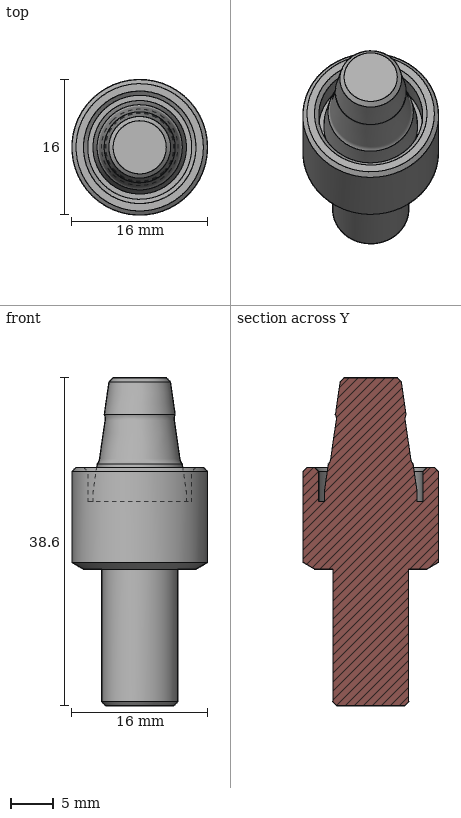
import cadquery as cq
import math

total_height = 38.6
shank_length = 16.05
collar_height = 12.0
rim_z = shank_length + collar_height

shank_diameter = 9.0
collar_diameter = 16.0
recess_diameter = 12.25
core_root_diameter = 11.0

edge_chamfer = 0.5
collar_base_chamfer_width = 1.4
collar_base_chamfer_height = 0.8

recess_depth = 4.0

taper_angle = 8.2
nose_top_radius = 3.13
upper_cone_bottom_z = 34.3
groove_depth = 0.2
groove_height = 0.7
lower_cone_bottom_z = 29.05
flare_height = 0.58
flare_width = 0.27

taper = math.tan(math.radians(taper_angle))
flank_down = (math.sin(math.radians(taper_angle)), -math.cos(math.radians(taper_angle)))
flank_up = (-flank_down[0], -flank_down[1])


def flank_arc_middle(start, end):
    """Middle point of the arc from start to end that is tangent to the cone at start."""
    chord_x = end[0] - start[0]
    chord_z = end[1] - start[1]
    chord = math.hypot(chord_x, chord_z)
    direction = flank_down if chord_z < 0 else flank_up
    cross = direction[0] * chord_z - direction[1] * chord_x
    tangent_angle = math.asin(cross / chord)
    rise = chord / 2 * math.tan(tangent_angle / 2)
    middle_x = (start[0] + end[0]) / 2 + rise * chord_z / chord
    middle_z = (start[1] + end[1]) / 2 - rise * chord_x / chord
    return middle_x, middle_z


def make_body():
    """Shank and solid collar with chamfered edges."""
    shank = cq.Workplane("XY").circle(shank_diameter / 2).extrude(shank_length)
    shank = shank.faces("<Z").chamfer(edge_chamfer)
    collar = cq.Workplane("XY").workplane(offset=shank_length)
    collar = collar.circle(collar_diameter / 2).extrude(collar_height)
    collar = collar.faces(">Z").chamfer(edge_chamfer)
    collar = collar.faces("<Z").chamfer(collar_base_chamfer_height, collar_base_chamfer_width)
    return shank.union(collar)


def make_recess():
    """Cylindrical cutter for the recess, with a chamfered mouth."""
    floor_z = rim_z - recess_depth
    radius = recess_diameter / 2
    return (
        cq.Workplane("XZ")
        .moveTo(0, floor_z)
        .lineTo(radius, floor_z)
        .lineTo(radius, rim_z - edge_chamfer)
        .lineTo(radius + edge_chamfer, rim_z)
        .lineTo(0, rim_z)
        .close()
        .revolve(360, (0, 0), (0, 1))
    )


def make_nose():
    """Tapered nose rising from the recess floor, with a groove and a flared foot."""
    floor_z = rim_z - recess_depth
    shoulder_z = total_height - edge_chamfer
    shoulder_radius = nose_top_radius + edge_chamfer
    upper_end = (shoulder_radius + (shoulder_z - upper_cone_bottom_z) * taper, upper_cone_bottom_z)
    groove_end_z = upper_cone_bottom_z - groove_height
    groove_end = (upper_end[0] + groove_height * taper - groove_depth, groove_end_z)
    lower_end = (groove_end[0] + (groove_end_z - lower_cone_bottom_z) * taper, lower_cone_bottom_z)
    flare_end = (lower_end[0] + flare_width, lower_cone_bottom_z - flare_height)
    root_radius = core_root_diameter / 2
    root_cone_bottom_z = flare_end[1] - (root_radius - flare_end[0]) / taper
    return (
        cq.Workplane("XZ")
        .moveTo(0, total_height)
        .lineTo(nose_top_radius, total_height)
        .lineTo(shoulder_radius, shoulder_z)
        .lineTo(*upper_end)
        .threePointArc(flank_arc_middle(groove_end, upper_end), groove_end)
        .lineTo(*lower_end)
        .threePointArc(flank_arc_middle(lower_end, flare_end), flare_end)
        .lineTo(root_radius, root_cone_bottom_z)
        .lineTo(root_radius, floor_z)
        .lineTo(0, floor_z)
        .close()
        .revolve(360, (0, 0), (0, 1))
    )


result = make_body().cut(make_recess()).union(make_nose())